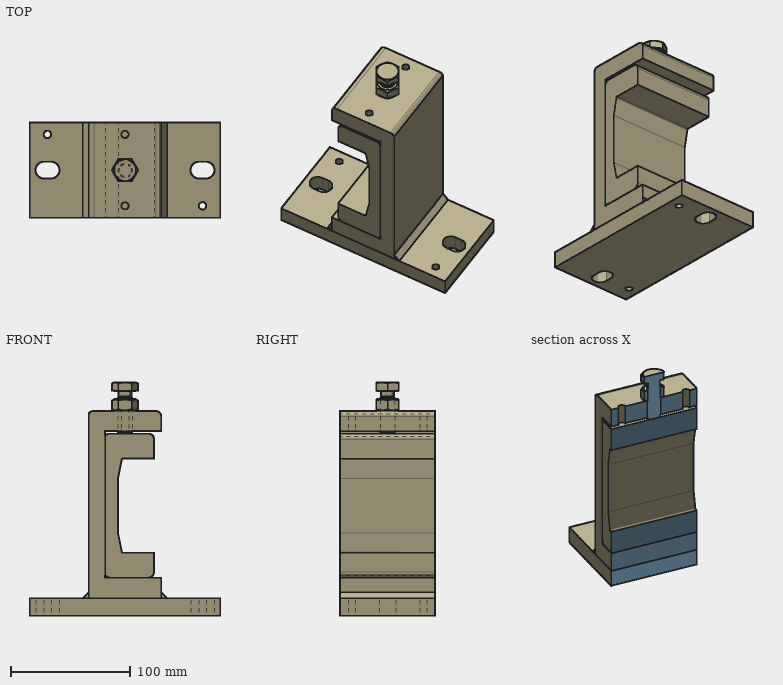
import cadquery as cq
import math

depth = 80.0
small_hole_d = 6.0
small_hole_y = 30.0

base_length = 160.0
base_thickness = 14.9
base_hole_x = 65.0
slot_length = 20.0
slot_width = 14.0

bracket_width = 61.0
bracket_top = 172.0
bracket_wall = 13.7
top_flange = 17.0
bottom_flange = 17.2
bracket_corner_r = 4.7
bracket_shave = 0.5

bracket_bottom = base_thickness
bracket_back = -bracket_width / 2
bracket_front = bracket_width / 2
bracket_inner = bracket_back + bracket_wall
flange_underside = bracket_top - top_flange
shelf = bracket_bottom + bottom_flange

insert_width = 41.1
insert_height = 120.9
insert_arm = 21.0
insert_web = 11.0
web_taper_width = 3.3
web_taper_height = 16.5
insert_corner_r = 4.7
insert_shave = 0.8
insert_root_r = 1.0

insert_back = bracket_inner
insert_front = insert_back + insert_width
insert_top = shelf + insert_height

weld_leg = 4.9

across_flats = 19.0
corner_d = across_flats / math.cos(math.pi / 6)
thread_d = 12.0
shank_d = 11.0
bolt_tip_d = 10.2
bolt_top = 195.9
head_height = 7.5
washer_face_d = 17.2
washer_face_height = 0.5
head_chamfer_d = 18.5
head_chamfer_angle = 30
thread_start = 183.2
runout_height = 1.2
tip_chamfer = 1.0
nut_height = 10.0
nut_chamfer_d = 17.2
nut_chamfer_angle = 30


def extrude_along_y(profile):
    """Extrude an XZ outline over the full depth, centred on Y = 0."""
    return profile.extrude(depth / 2, both=True)


def small_hole(x, y, bottom, top):
    """Cutting cylinder for one of the small vertical holes."""
    return (
        cq.Workplane("XY", origin=(x, y, bottom))
        .circle(small_hole_d / 2)
        .extrude(top - bottom)
    )


def rod(diameter, bottom, top):
    """Cylinder on the bolt axis."""
    return cq.Workplane("XY", origin=(0, 0, bottom)).circle(diameter / 2).extrude(top - bottom)


def hexagon(bottom, top):
    """Hexagonal prism on the bolt axis, with corners pointing along X."""
    return (
        cq.Workplane("XY", origin=(0, 0, bottom))
        .polygon(6, corner_d)
        .extrude(top - bottom)
    )


def chamfer_envelope(bottom, top, end_d, angle, both_ends):
    """Turned shape that bevels the corners of a hexagon at its top, or at both ends."""
    outer_r = corner_d / 2
    drop = (outer_r - end_d / 2) * math.tan(math.radians(angle))
    outline = cq.Workplane("XZ").moveTo(0, bottom)
    if both_ends:
        outline = outline.lineTo(end_d / 2, bottom).lineTo(outer_r, bottom + drop)
    else:
        outline = outline.lineTo(outer_r, bottom)
    outline = outline.lineTo(outer_r, top - drop).lineTo(end_d / 2, top).lineTo(0, top).close()
    return outline.revolve(360, (0, 0, 0), (0, 1, 0))


def make_base():
    """Flat plate with two slots and two small holes at opposite corners."""
    plate = cq.Workplane("XY").box(base_length, depth, base_thickness, centered=(True, True, False))
    slots = (
        cq.Workplane("XY")
        .pushPoints([(-base_hole_x, 0), (base_hole_x, 0)])
        .slot2D(slot_length, slot_width)
        .extrude(base_thickness)
    )
    plate = plate.cut(slots)
    for side in (-1, 1):
        plate = plate.cut(small_hole(side * base_hole_x, -side * small_hole_y, 0, base_thickness))
    return plate


def shave_back(body, stock_back, shave):
    """Machine the thickness `shave` off the back of a body whose back lies at `stock_back`."""
    shaving = cq.Workplane("XY").box(shave, depth, bolt_top, centered=(False, True, False))
    return body.cut(shaving.translate((stock_back, 0, 0)))


def make_bracket():
    """C-shaped bracket with rounded top corners and holes through its top flange."""
    stock_back = bracket_back - bracket_shave
    body = extrude_along_y(
        cq.Workplane("XZ")
        .moveTo(stock_back, bracket_bottom)
        .lineTo(bracket_front, bracket_bottom)
        .lineTo(bracket_front, shelf)
        .lineTo(bracket_inner, shelf)
        .lineTo(bracket_inner, flange_underside)
        .lineTo(bracket_front, flange_underside)
        .lineTo(bracket_front, bracket_top)
        .lineTo(stock_back, bracket_top)
        .close()
    )
    body = body.faces(">Z").edges("|Y").fillet(bracket_corner_r)
    body = shave_back(body, stock_back, bracket_shave)
    for side in (-1, 1):
        body = body.cut(small_hole(0, side * small_hole_y, flange_underside, bracket_top))
    return body.cut(rod(thread_d, flange_underside, bracket_top))


def make_insert():
    """C-shaped insert on the bracket's shelf, held down by the bolt."""
    stock_back = insert_back - insert_shave
    web_front = insert_back + insert_web
    web_root = web_front + web_taper_width
    lower_arm_top = shelf + insert_arm
    upper_arm_bottom = insert_top - insert_arm
    body = extrude_along_y(
        cq.Workplane("XZ")
        .moveTo(stock_back, shelf)
        .lineTo(insert_front, shelf)
        .lineTo(insert_front, lower_arm_top)
        .lineTo(web_root, lower_arm_top)
        .lineTo(web_front, lower_arm_top + web_taper_height)
        .lineTo(web_front, upper_arm_bottom - web_taper_height)
        .lineTo(web_root, upper_arm_bottom)
        .lineTo(insert_front, upper_arm_bottom)
        .lineTo(insert_front, insert_top)
        .lineTo(stock_back, insert_top)
        .close()
    )
    body = body.faces(">Z or <Z").edges("|Y").fillet(insert_corner_r)
    for arm_face in (lower_arm_top, upper_arm_bottom):
        root = cq.selectors.NearestToPointSelector((web_root, 0, arm_face))
        body = body.edges(root).fillet(insert_root_r)
    return shave_back(body, stock_back, insert_shave)


def make_weld(side):
    """Triangular bead along one foot of the bracket; `side` is -1 at the back and 1 at the front."""
    root_x = side * bracket_width / 2
    toe_x = root_x + side * weld_leg
    return extrude_along_y(
        cq.Workplane("XZ")
        .moveTo(root_x, base_thickness)
        .lineTo(toe_x, base_thickness)
        .lineTo(root_x, base_thickness + weld_leg)
        .close()
    )


def make_bolt():
    """Hexagon bolt with a washer face, a thinner shank and a bevelled tip on the insert."""
    head_bottom = bolt_top - head_height
    hex_bottom = head_bottom + washer_face_height
    head = hexagon(hex_bottom, bolt_top).intersect(
        chamfer_envelope(hex_bottom, bolt_top, head_chamfer_d, head_chamfer_angle, False)
    )
    washer_face = rod(washer_face_d, head_bottom, hex_bottom)
    shaft = (
        cq.Workplane("XZ")
        .moveTo(0, insert_top)
        .lineTo(bolt_tip_d / 2, insert_top)
        .lineTo(thread_d / 2, insert_top + tip_chamfer)
        .lineTo(thread_d / 2, thread_start)
        .lineTo(shank_d / 2, thread_start + runout_height)
        .lineTo(shank_d / 2, head_bottom)
        .lineTo(0, head_bottom)
        .close()
        .revolve(360, (0, 0, 0), (0, 1, 0))
    )
    return head.union(washer_face).union(shaft)


def make_nut():
    """Lock nut on the bracket, bevelled at both ends."""
    nut_top = bracket_top + nut_height
    nut = hexagon(bracket_top, nut_top).intersect(
        chamfer_envelope(bracket_top, nut_top, nut_chamfer_d, nut_chamfer_angle, True)
    )
    return nut.cut(rod(thread_d, bracket_top, nut_top))


base = make_base()
bracket = make_bracket()
insert = make_insert()
bolt = make_bolt()
nut = make_nut()
welds = [make_weld(side) for side in (-1, 1)]

result = cq.Compound.makeCompound(
    [base.val(), bracket.val(), insert.val(), bolt.val(), nut.val(), *[weld.val() for weld in welds]]
)